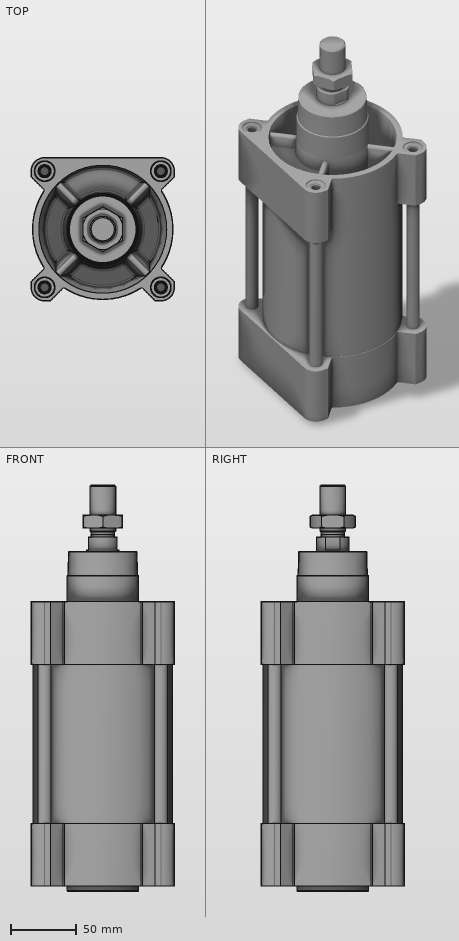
import cadquery as cq
import math

rear_boss_height = 4.0
cap_height = 48.0
barrel_length = 122.0
collar_height = 20.2
neck_height = 18.5
total_height = 311.5

rear_cap_z = rear_boss_height
barrel_z = rear_cap_z + cap_height
front_cap_z = barrel_z + barrel_length
front_face_z = front_cap_z + cap_height
collar_z = front_face_z + collar_height
neck_z = collar_z + neck_height

width = 110.0
half_width = width / 2
cap_radius = 107.8 / 2
barrel_radius = 107.2 / 2
screw_offset = 44.5
lug_radius = half_width - screw_offset
notch_step = 30.5
notch_floor = 45.2
lug_flat_end = screw_offset - (math.sqrt(2) - 1) * lug_radius
tie_rod_diameter = 10.0

socket_diameter = 15.0
socket_mouth_diameter = 16.0
socket_depth = 1.2
screw_bore_diameter = 8.5
screw_bore_depth = 2.5
screw_hole_diameter = 7.0
screw_mouth_diameter = 10.0
screw_hole_depth = 12.5

boss_diameter = 55.0
boss_radius = boss_diameter / 2
boss_chamfer = 0.5
recess_rim_radius = 98.0 / 2
recess_depth = 37.5
shallow_depth = 14.0
wall_slope = 0.13
boss_slope = 0.08
floor_fillet = 1.5

rib_top_depth = 3.0
rib_half_width = 2.5
rib_slope = 0.14

neck_base_radius = 53.5 / 2
neck_top_radius = 52.3 / 2
neck_chamfer = 0.5

rod_diameter = 25.0
thread_diameter = 20.0
thread_end_diameter = 17.8
groove_diameter = 18.5
groove_z = 271.5
groove_width = 3.7
relief_diameter = 17.8
flats_z = 261.7
flats_width = 22.0
thread_chamfer = (thread_diameter - thread_end_diameter) / 2

nut_z = 278.5
nut_thickness = 10.0
nut_width = 30.0
nut_face_diameter = 31.0
nut_chamfer_angle = 30.0


def corner_points():
    """Tie-rod axes at the four corners."""
    return [(sx * screw_offset, sy * screw_offset) for sx in (-1, 1) for sy in (-1, 1)]


def cylinder(diameter, z, height):
    return cq.Workplane("XY").workplane(offset=z).circle(diameter / 2).extrude(height)


def lug(sx, sy):
    """Plan outline of one corner lug, reaching inwards to the cap centre."""
    arc_mid = screw_offset + lug_radius / math.sqrt(2)
    points = [
        (0, 0),
        (0, notch_floor),
        (notch_step, notch_floor),
        (lug_flat_end, half_width),
        (screw_offset, half_width),
        (arc_mid, arc_mid),
        (half_width, screw_offset),
        (half_width, lug_flat_end),
        (notch_floor, notch_step),
        (notch_floor, 0),
    ]
    p = [(sx * x, sy * y) for x, y in points]
    outline = cq.Workplane("XY").polyline(p[:5]).threePointArc(p[5], p[6])
    for point in p[7:]:
        outline = outline.lineTo(*point)
    return outline.close().extrude(cap_height)


def end_cap(z):
    """Round cap with four lugs and a straight +Y side."""
    cap = cylinder(2 * cap_radius, 0, cap_height)
    for sx in (-1, 1):
        for sy in (-1, 1):
            cap = cap.union(lug(sx, sy))
    straight_side = cq.Workplane("XY").rect(2 * screw_offset, half_width).extrude(cap_height)
    cap = cap.union(straight_side.translate((0, half_width / 2, 0)))
    return cap.translate((0, 0, z))


def annular_recess():
    """Ring-shaped cutter with drafted walls."""
    floor_z = front_face_z - recess_depth
    inner = boss_radius + boss_slope * recess_depth
    outer = recess_rim_radius - wall_slope * recess_depth
    return (
        cq.Workplane("XZ")
        .moveTo(boss_radius, front_face_z)
        .lineTo(inner, floor_z)
        .lineTo(outer, floor_z)
        .lineTo(recess_rim_radius, front_face_z)
        .close()
        .revolve(360, (0, 0, 0), (0, 1, 0))
    )


def recess_ribs():
    """Diagonal cross of drafted ribs with fully rounded crests."""
    crest_z = front_face_z - rib_top_depth
    shoulder_z = crest_z - rib_half_width
    foot_z = front_face_z - recess_depth
    foot_half_width = rib_half_width + rib_slope * (shoulder_z - foot_z)
    rib = (
        cq.Workplane("XZ")
        .moveTo(-foot_half_width, foot_z)
        .lineTo(-rib_half_width, shoulder_z)
        .threePointArc((0, crest_z), (rib_half_width, shoulder_z))
        .lineTo(foot_half_width, foot_z)
        .close()
        .extrude(recess_rim_radius, both=True)
    )
    ribs = rib.rotate((0, 0, 0), (0, 0, 1), 45)
    return ribs.union(rib.rotate((0, 0, 0), (0, 0, 1), -45))


def front_recess():
    """Recess with a raised floor in the +Y quarter, ribs left standing and filleted floor edges."""
    raised_floor = (
        cq.Workplane("XY")
        .workplane(offset=front_face_z - recess_depth)
        .polyline([(0, 0), (half_width, half_width), (-half_width, half_width)])
        .close()
        .extrude(recess_depth - shallow_depth)
    )
    recess = annular_recess().cut(raised_floor).cut(recess_ribs())
    return recess.faces("-Z").edges().fillet(floor_fillet)


def front_boss():
    """Collar and tapered neck standing above the front cap."""
    return (
        cq.Workplane("XZ")
        .moveTo(0, front_face_z)
        .lineTo(boss_radius, front_face_z)
        .lineTo(boss_radius, collar_z - boss_chamfer)
        .lineTo(boss_radius - boss_chamfer, collar_z)
        .lineTo(neck_base_radius, collar_z)
        .lineTo(neck_top_radius, neck_z - neck_chamfer)
        .lineTo(neck_top_radius - neck_chamfer, neck_z)
        .lineTo(0, neck_z)
        .close()
        .revolve(360, (0, 0, 0), (0, 1, 0))
    )


def screw_socket():
    """Stepped, chamfered socket cutter on the cylinder axis."""
    mouth = (socket_mouth_diameter - socket_diameter) / 2
    lead_in = (screw_mouth_diameter - screw_bore_diameter) / 2
    seat_z = front_face_z - socket_depth
    bore_z = front_face_z - screw_bore_depth
    bottom_z = front_face_z - screw_hole_depth
    return (
        cq.Workplane("XZ")
        .moveTo(0, front_face_z)
        .lineTo(socket_mouth_diameter / 2, front_face_z)
        .lineTo(socket_diameter / 2, front_face_z - mouth)
        .lineTo(socket_diameter / 2, seat_z)
        .lineTo(screw_mouth_diameter / 2, seat_z)
        .lineTo(screw_bore_diameter / 2, seat_z - lead_in)
        .lineTo(screw_bore_diameter / 2, bore_z)
        .lineTo(screw_hole_diameter / 2, bore_z)
        .lineTo(screw_hole_diameter / 2, bottom_z)
        .lineTo(0, bottom_z)
        .close()
        .revolve(360, (0, 0, 0), (0, 1, 0))
    )


def make_housing():
    """Barrel, both caps, tie rods and bosses as one solid, bored for the rod."""
    body = cylinder(2 * barrel_radius, barrel_z, barrel_length)
    body = body.union(end_cap(rear_cap_z)).union(end_cap(front_cap_z))
    rear_boss = cylinder(boss_diameter, 0, rear_boss_height).faces("<Z").chamfer(boss_chamfer)
    body = body.union(rear_boss)
    body = body.union(front_boss())
    for x, y in corner_points():
        body = body.union(cylinder(tie_rod_diameter, barrel_z, barrel_length).translate((x, y, 0)))
        body = body.cut(screw_socket().translate((x, y, 0)))
    body = body.cut(cylinder(rod_diameter, front_cap_z, neck_z - front_cap_z))
    return body.cut(front_recess())


def make_piston_rod():
    """Rod with wrench flats, a groove and a threaded end drawn as a plain cylinder."""
    rod = cylinder(rod_diameter, front_cap_z, groove_z - front_cap_z)
    for side in (-1, 1):
        flat = (
            cq.Workplane("XY")
            .workplane(offset=flats_z)
            .center(side * (flats_width + rod_diameter) / 2, 0)
            .rect(rod_diameter, 2 * rod_diameter)
            .extrude(groove_z - flats_z)
        )
        rod = rod.cut(flat)
    thread_z = groove_z + groove_width
    thread = cylinder(thread_diameter, thread_z, total_height - thread_z)
    thread = thread.faces("<Z or >Z").chamfer(thread_chamfer)
    groove = cylinder(groove_diameter, groove_z, groove_width)
    relief = cylinder(relief_diameter, groove_z, groove_width / 2)
    groove = groove.cut(cylinder(groove_diameter, groove_z, groove_width / 2)).union(relief)
    return rod.union(groove).union(thread)


def make_nut():
    """Hexagon nut with its corners chamfered on both faces and its flats facing X."""
    corner_diameter = nut_width / math.cos(math.pi / 6)
    drop = (corner_diameter - nut_face_diameter) / 2 * math.tan(math.radians(nut_chamfer_angle))
    hexagon = (
        cq.Workplane("XY")
        .workplane(offset=nut_z)
        .transformed(rotate=(0, 0, 90))
        .polygon(6, corner_diameter)
        .extrude(nut_thickness)
    )
    envelope = cylinder(corner_diameter, nut_z, nut_thickness)
    envelope = envelope.faces("<Z or >Z").chamfer(drop, (corner_diameter - nut_face_diameter) / 2)
    return hexagon.intersect(envelope).cut(cylinder(thread_diameter, nut_z, nut_thickness))


housing = make_housing()
piston_rod = make_piston_rod()
nut = make_nut()

result = cq.Compound.makeCompound([housing.val(), piston_rod.val(), nut.val()])